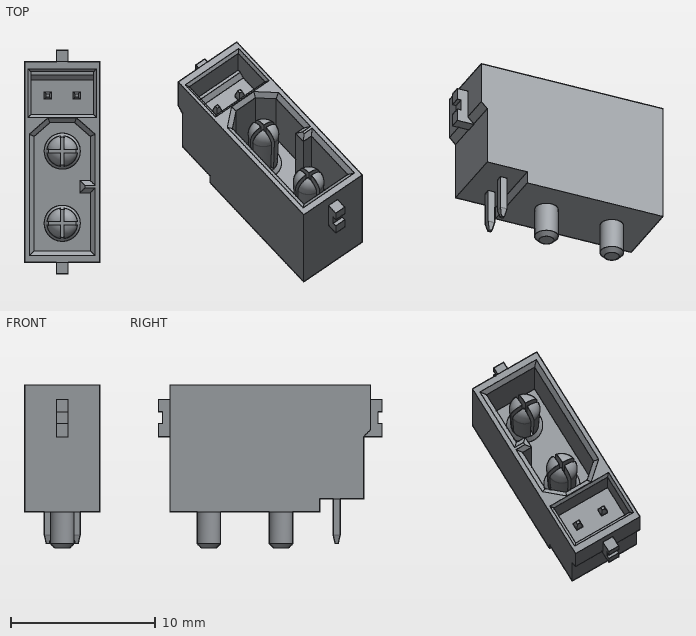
import cadquery as cq
import math

body_width = 5.2
body_length = 13.9
body_height = 8.8
front_y = -body_length / 2
back_y = body_length / 2
back_relief = 0.46
back_relief_depth = 3.56
step_height = 0.9
deep_base_length = 10.38
step_y = front_y + deep_base_length

tab_width = 0.8
tab_reach = 0.8
tab_top_depth = 1.0
tab_bottom_depth = 3.6
tab_notch_top_depth = 1.87
tab_notch_bottom_depth = 2.67
tab_notch_reach = 0.28

signal_pocket_width = 4.34
signal_pocket_length = 2.96
signal_back_wall = 0.7
signal_pocket_back = back_y - signal_back_wall
signal_pocket_front = signal_pocket_back - signal_pocket_length
signal_pocket_depth = 2.7
signal_lead_in = 0.2
signal_lead_in_height = 0.2
ledge_width = 0.23
ledge_height = 0.33
signal_pin_pitch = 2.0
signal_pin_size = 0.5
signal_tip_size = 0.22
signal_tip_height = 0.6
signal_pin_top_depth = 1.9
signal_pin_tail = 2.2

power_pocket_half_width = 1.94
power_front_wall = 0.8
partition_thickness = 0.57
power_pocket_front = front_y + power_front_wall
power_pocket_back = signal_pocket_front - partition_thickness
power_corner_x = 0.86
power_corner_length = 0.95
power_corner_y = power_pocket_back - power_corner_length
power_pocket_depth = 5.5
power_lead_in = 0.335
power_lead_in_height = 0.28
power_pitch = 5.0
power_end_distance = 2.7
power_front_y = front_y + power_end_distance
power_ys = [power_front_y, power_front_y + power_pitch]
signal_to_power = 3.85
signal_pin_y = power_ys[-1] + signal_to_power
rib_offset = 2.54
rib_y = power_front_y + rib_offset
rib_width = 0.85
rib_reach = 0.715

contact_radius = 1.06
contact_neck_radius = 0.965
contact_base_radius = 1.25
contact_top_depth = 0.8
contact_dome_radius = 0.84
contact_slot_width = 0.25
tail_radius = 0.82
tail_length = 2.5
tail_chamfer = 0.3


def box_between(x_range, y_range, z_range):
    """Axis-aligned box from its limits along X, Y and Z."""
    (x0, x1), (y0, y1), (z0, z1) = x_range, y_range, z_range
    return cq.Workplane("XY").box(x1 - x0, y1 - y0, z1 - z0, centered=False).translate((x0, y0, z0))


def extrude_across(points, width):
    """Extrude a Y-Z outline symmetrically along X."""
    return cq.Workplane("YZ").polyline(points).close().extrude(width / 2, both=True)


def make_housing():
    relief_z = body_height - back_relief_depth
    wall_y = back_y - back_relief
    return extrude_across(
        [
            (front_y, 0),
            (step_y, 0),
            (step_y, step_height),
            (wall_y, step_height),
            (wall_y, relief_z),
            (back_y, relief_z + back_relief),
            (back_y, body_height),
            (front_y, body_height),
        ],
        body_width,
    )


def make_tab(side):
    """Notched tab on the end wall facing side * Y; its root is buried in the wall."""
    root = side * (body_length / 2 - back_relief)
    tip = side * (body_length / 2 + tab_reach)
    notch = tip - side * tab_notch_reach
    top = body_height - tab_top_depth
    bottom = body_height - tab_bottom_depth
    notch_top = body_height - tab_notch_top_depth
    notch_bottom = body_height - tab_notch_bottom_depth
    return extrude_across(
        [
            (root, bottom),
            (tip, bottom),
            (tip, notch_bottom),
            (notch, notch_bottom),
            (notch, notch_top),
            (tip, notch_top),
            (tip, top),
            (root, top),
        ],
        tab_width,
    )


def make_pocket(outline, depth, lead_in, lead_in_height):
    """Straight-walled pocket volume with a flared mouth at the top face."""
    rim = cq.Workplane("XY").polyline(outline).close().val()
    flared_rim = rim.offset2D(lead_in, "intersection")[0]
    well = cq.Workplane(cq.Solid.extrudeLinear(rim, [], cq.Vector(0, 0, depth)))
    mouth = cq.Solid.makeLoft(
        [rim.translate((0, 0, depth - lead_in_height)), flared_rim.translate((0, 0, depth))],
        True,
    )
    return well.union(cq.Workplane(mouth)).translate((0, 0, body_height - depth))


def make_signal_pocket():
    half = signal_pocket_width / 2
    outline = [
        (-half, signal_pocket_front),
        (half, signal_pocket_front),
        (half, signal_pocket_back),
        (-half, signal_pocket_back),
    ]
    pocket = make_pocket(outline, signal_pocket_depth, signal_lead_in, signal_lead_in_height)
    floor_z = body_height - signal_pocket_depth
    ledge_y = signal_pocket_back - ledge_width
    ledge = extrude_across(
        [
            (signal_pocket_back, floor_z),
            (signal_pocket_back, floor_z + ledge_height),
            (ledge_y, floor_z + ledge_height),
            (ledge_y - ledge_height, floor_z),
        ],
        signal_pocket_width,
    )
    return pocket.cut(ledge)


def make_power_pocket():
    """Pocket with two cut corners at the back and a keying rib on the +X wall."""
    wall = power_pocket_half_width
    rib_x = wall - rib_reach
    rib_front = rib_y - rib_width / 2
    rib_back = rib_y + rib_width / 2
    outline = [
        (-wall, power_pocket_front),
        (wall, power_pocket_front),
        (wall, rib_front),
        (rib_x, rib_front),
        (rib_x, rib_back),
        (wall, rib_back),
        (wall, power_corner_y),
        (power_corner_x, power_pocket_back),
        (-power_corner_x, power_pocket_back),
        (-wall, power_corner_y),
    ]
    return make_pocket(outline, power_pocket_depth, power_lead_in, power_lead_in_height)


def make_signal_pin(x):
    """Square pin with a pyramid-shaped tip at each end."""
    top = body_height - signal_pin_top_depth
    shoulder_top = top - signal_tip_height
    shoulder_bottom = signal_tip_height - signal_pin_tail
    half = signal_pin_size / 2
    pin = box_between((-half, half), (-half, half), (shoulder_bottom, shoulder_top))
    for shoulder, direction in ((shoulder_top, 1), (shoulder_bottom, -1)):
        tip = (
            cq.Workplane("XY", origin=(0, 0, shoulder))
            .rect(signal_pin_size, signal_pin_size)
            .workplane(offset=direction * signal_tip_height)
            .rect(signal_tip_size, signal_tip_size)
            .loft(ruled=True)
        )
        pin = pin.union(tip)
    return pin.translate((x, signal_pin_y, 0))


def make_power_contact(y):
    """Turned contact: domed, cross-slotted head on a flared base, with a round tail."""
    floor_z = body_height - power_pocket_depth
    top_z = body_height - contact_top_depth
    widest_z = top_z - contact_dome_radius
    crown_radius = contact_radius - contact_dome_radius
    neck_z = floor_z + contact_base_radius - contact_neck_radius
    dome_mid = contact_dome_radius * math.sqrt(0.5)
    contact = (
        cq.Workplane("XZ")
        .moveTo(0, -tail_length)
        .lineTo(tail_radius - tail_chamfer, -tail_length)
        .lineTo(tail_radius, tail_chamfer - tail_length)
        .lineTo(tail_radius, floor_z)
        .lineTo(contact_base_radius, floor_z)
        .lineTo(contact_neck_radius, neck_z)
        .lineTo(contact_radius, widest_z)
        .threePointArc((crown_radius + dome_mid, widest_z + dome_mid), (crown_radius, top_z))
        .lineTo(0, top_z)
        .close()
        .revolve(360, (0, 0, 0), (0, 1, 0))
    )
    reach = (-contact_base_radius, contact_base_radius)
    slot = (-contact_slot_width / 2, contact_slot_width / 2)
    slot_z = (neck_z, top_z)
    contact = contact.cut(box_between(reach, slot, slot_z)).cut(box_between(slot, reach, slot_z))
    return contact.translate((0, y, 0))


result = make_housing()
for side in (-1, 1):
    result = result.union(make_tab(side))
result = result.cut(make_signal_pocket()).cut(make_power_pocket())
for pin_x in (-signal_pin_pitch / 2, signal_pin_pitch / 2):
    result = result.union(make_signal_pin(pin_x))
for contact_y in power_ys:
    result = result.union(make_power_contact(contact_y))